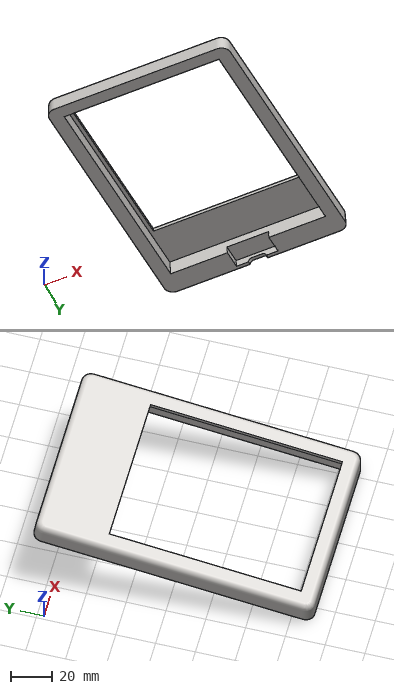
import cadquery as cq
import math

length = 141.1
width = 97.2
thickness = 10.0
tilt = 8.0
corner_radius = 5.0
top_edge_radius = 3.0
base_length = length / math.cos(math.radians(tilt))
front_slant = thickness * math.tan(math.radians(tilt))

skin = 2.0
window_width = 79.2
window_front = 9.5
window_length = 97.4
side_wall = 7.0
front_wall = side_wall
back_wall = 12.5
cavity_back = base_length - back_wall

outer_wall = 2.0
connector_width = 22.3
connector_height = 4.0
plug_diameter = 4.0
plug_width = 9.5


def centred_box(x_size, y_start, y_end, z_start, z_end):
    """Box symmetric about the YZ plane."""
    box = cq.Workplane("XY").box(x_size, y_end - y_start, z_end - z_start, centered=(True, False, False))
    return box.translate((0, y_start, z_start))


def make_shell():
    """Outer body lying flat: side profile, rounded corners, rounded top edge."""
    profile = [(0, 0), (base_length, 0), (base_length, thickness), (front_slant, thickness)]
    body = cq.Workplane("YZ").polyline(profile).close().extrude(width / 2, both=True)
    body = body.edges("not(|X or |Y)").fillet(corner_radius)
    return body.faces(">Z").edges().fillet(top_edge_radius)


def make_plug_opening():
    """Round-ended slot centred on the base plane, running through the back wall."""
    slot = cq.Workplane("XZ").slot2D(plug_width, plug_diameter).extrude(-back_wall)
    return slot.translate((0, cavity_back, 0))


window = centred_box(window_width, window_front, window_front + window_length, 0, thickness)
cavity = centred_box(width - 2 * side_wall, front_wall, cavity_back, 0, thickness - skin)
connector_pocket = centred_box(connector_width, cavity_back, base_length - outer_wall, 0, connector_height)

flat_case = make_shell()
for opening in (window, cavity, connector_pocket, make_plug_opening()):
    flat_case = flat_case.cut(opening)

result = flat_case.rotate((0, 0, 0), (1, 0, 0), tilt).translate((0, -length / 2, 0))